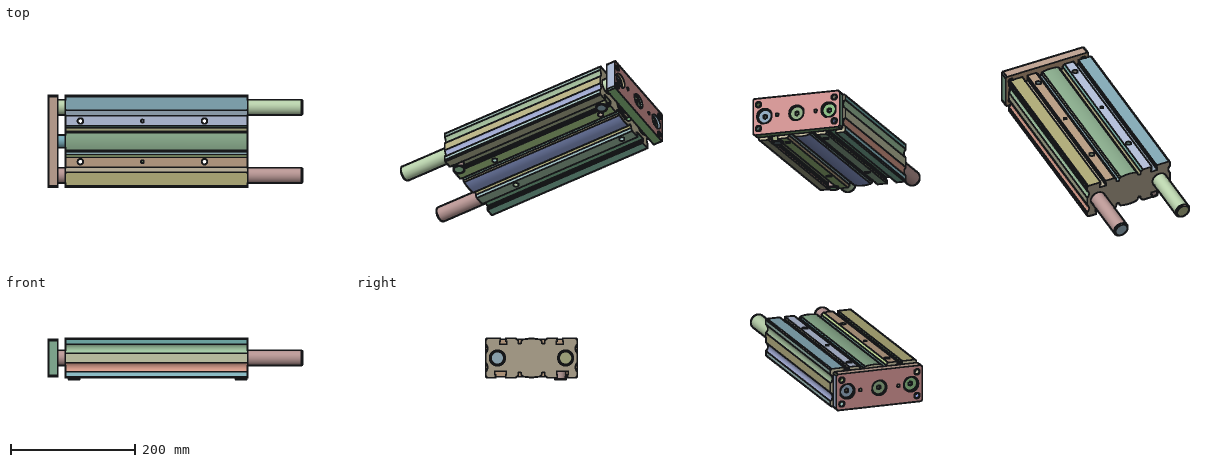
import cadquery as cq
import math


total_length = 410.0
width = 148.0

plate_thickness = 15.0
plate_height = 61.0
plate_chamfer = 2.5
corner_hole_y = 64.8
corner_hole_z = 20.0
corner_hole_diameter = 8.0
corner_countersink_diameter = 10.0
pin_hole_diameter = 5.0

housing_start = 27.5
housing_length = 294.0
housing_height = 64.0
housing_chamfer = 2.0
top = housing_height / 2
side = width / 2

guide_diameter = 25.0
guide_y = 55.0
guide_end_chamfer = 2.0
piston_diameter = 21.0
piston_end = 287.0
rod_bore_diameter = guide_diameter
head_edge_chamfer = 1.2
guide_recess = 4.0
piston_recess = 3.0
socket_flats = 6.0
socket_depth = 4.0

hub_diameter = 35.3
hub_recess_diameter = 46.7
hub_recess_depth = 13.0

rail_half_width = 14.0
rail_drop = 0.5
rail_crown = 1.85
rail_chamfer = 2.5
groove_inner = rail_half_width + rail_chamfer
groove_outer = 21.7
groove_chamfer = 3.5
groove_mouth = groove_outer + groove_chamfer
groove_depth = 9.0

top_slot_inner = 41.5
top_slot_outer = 50.0
bottom_slot_inner = 42.0
bottom_slot_outer = 58.0
slot_lip = 5.5
slot_depth = 10.2
slot_undercut = 1.2

flute_z = 15.0
flute_chord = 14.5
flute_depth = 3.3

mount_y = 33.0
mount_middle_x = 151.5
mount_spacing = 200.0
mount_diameter = 8.5
locating_diameter = 5.0
locating_depth = 6.0

plug_y = 46.7
plug_positions_x = (41.5, 310.8)
plug_diameter = 16.5
plug_flange_diameter = 19.0
plug_flange_thickness = 1.5
plug_flange_chamfer = 1.02
plug_projection = 3.0
plug_insertion = 13.5


def rod_along_x(start, end, diameter, y=0.0):
    """Round bar parallel to X."""
    return cq.Workplane("YZ", origin=(start, y, 0)).circle(diameter / 2).extrude(end - start)


def along_housing(profile):
    """Extrude a closed YZ profile over the housing length."""
    return profile.close().extrude(housing_length)


def housing_section():
    return cq.Workplane("YZ", origin=(housing_start, 0, 0))


def cut_hex_socket(rod, face_x, y):
    """Hexagon socket in the front end, with corners pointing up and down."""
    corners = socket_flats / math.cos(math.pi / 6)
    socket = (
        cq.Workplane("YZ", origin=(face_x, y, 0))
        .transformed(rotate=(0, 0, 90))
        .polygon(6, corners)
        .extrude(socket_depth)
    )
    return rod.cut(socket)


def centre_channel():
    """Material removed above the crowned rail and from its two sensor grooves."""
    bottom = top - groove_depth
    bottom_radius = (groove_outer - groove_inner) / 2
    groove_middle = (groove_outer + groove_inner) / 2
    round_start = bottom + bottom_radius
    crown = top - rail_drop
    rail_edge = crown - rail_crown
    return along_housing(
        housing_section()
        .moveTo(-groove_mouth, top)
        .lineTo(-groove_outer, top - groove_chamfer)
        .lineTo(-groove_outer, round_start)
        .threePointArc((-groove_middle, bottom), (-groove_inner, round_start))
        .lineTo(-groove_inner, rail_edge - rail_chamfer)
        .lineTo(-rail_half_width, rail_edge)
        .threePointArc((0, crown), (rail_half_width, rail_edge))
        .lineTo(groove_inner, rail_edge - rail_chamfer)
        .lineTo(groove_inner, round_start)
        .threePointArc((groove_middle, bottom), (groove_outer, round_start))
        .lineTo(groove_outer, top - groove_chamfer)
        .lineTo(groove_mouth, top)
    )


def t_slot(inner, outer):
    """T-slot opening in the top face, between two distances from the centre plane."""
    lip = top - slot_lip
    floor = top - slot_depth
    return along_housing(
        housing_section()
        .moveTo(inner, top)
        .lineTo(inner, lip)
        .lineTo(inner - slot_undercut, lip)
        .lineTo(inner - slot_undercut, floor)
        .lineTo(outer + slot_undercut, floor)
        .lineTo(outer + slot_undercut, lip)
        .lineTo(outer, lip)
        .lineTo(outer, top)
    )


def side_flute(z):
    return along_housing(
        housing_section()
        .moveTo(side, z - flute_chord / 2)
        .threePointArc((side - flute_depth, z), (side, z + flute_chord / 2))
    )


def hub_recess():
    """Ring cut into the front end of the housing, leaving the bearing hub standing."""
    ring = housing_section().circle(hub_recess_diameter / 2).circle(hub_diameter / 2)
    return ring.extrude(hub_recess_depth)


def plug_blank(x, diameter, bottom, height):
    """Upright cylinder on a port axis."""
    return cq.Workplane("XY", origin=(x, plug_y, bottom)).circle(diameter / 2).extrude(height)


def make_housing():
    body = (
        cq.Workplane("XY")
        .box(housing_length, width, housing_height)
        .edges("|X")
        .chamfer(housing_chamfer)
        .translate((housing_start + housing_length / 2, 0, 0))
    )

    channel = centre_channel()
    body = body.cut(channel).cut(channel.mirror("XY"))

    body = body.cut(hub_recess())

    top_slot = t_slot(top_slot_inner, top_slot_outer)
    bottom_slot = t_slot(bottom_slot_inner, bottom_slot_outer).mirror("XY")
    for slot in (top_slot, bottom_slot):
        body = body.cut(slot).cut(slot.mirror("XZ"))

    for z in (-flute_z, flute_z):
        flute = side_flute(z)
        body = body.cut(flute).cut(flute.mirror("XZ"))

    for y in (-guide_y, guide_y):
        body = body.cut(rod_along_x(housing_start, total_length, guide_diameter, y))
    body = body.cut(rod_along_x(housing_start, piston_end, piston_diameter))

    for y in (-mount_y, mount_y):
        for x in (mount_middle_x - mount_spacing / 2, mount_middle_x + mount_spacing / 2):
            mount = cq.Workplane("XY", origin=(x, y, -top)).circle(mount_diameter / 2)
            body = body.cut(mount.extrude(housing_height))
        locating = cq.Workplane("XY", origin=(mount_middle_x, y, top)).circle(locating_diameter / 2)
        body = body.cut(locating.extrude(-locating_depth))

    for x in plug_positions_x:
        body = body.cut(plug_blank(x, plug_diameter, -top, plug_insertion))
    return body


def corner_hole(y, z):
    """Through hole with a 45 degree countersink on the front face."""
    hole_radius = corner_hole_diameter / 2
    mouth_radius = corner_countersink_diameter / 2
    hole = cq.Workplane("YZ", origin=(0, y, z)).circle(hole_radius).extrude(plate_thickness)
    countersink = cq.Solid.makeCone(
        mouth_radius, hole_radius, mouth_radius - hole_radius, cq.Vector(0, y, z), cq.Vector(1, 0, 0)
    )
    return hole.union(cq.Workplane(countersink))


def make_front_plate():
    """Front plate in one piece with the piston rod."""
    plate = (
        cq.Workplane("XY")
        .box(plate_thickness, width, plate_height)
        .edges("|X")
        .chamfer(plate_chamfer)
        .translate((plate_thickness / 2, 0, 0))
    )

    for y in (-guide_y, 0, guide_y):
        plate = plate.cut(rod_along_x(0, plate_thickness, rod_bore_diameter, y))

    for y in (-corner_hole_y, corner_hole_y):
        for z in (-corner_hole_z, corner_hole_z):
            plate = plate.cut(corner_hole(y, z))

    for y in (-mount_y, mount_y):
        plate = plate.cut(rod_along_x(0, plate_thickness, pin_hole_diameter, y))

    head = rod_along_x(piston_recess, plate_thickness, rod_bore_diameter)
    head = head.faces("<X").chamfer(head_edge_chamfer)
    head = cut_hex_socket(head, piston_recess, 0)
    return plate.union(head).union(rod_along_x(plate_thickness, piston_end, piston_diameter))


def make_guide_rod(y):
    rod = rod_along_x(guide_recess, total_length, guide_diameter, y)
    rod = rod.faces("<X").chamfer(head_edge_chamfer)
    rod = rod.faces(">X").chamfer(guide_end_chamfer)
    return cut_hex_socket(rod, guide_recess, y)


def make_plug(x):
    """Screw plug: a shank in the port and a flange just below the housing."""
    flange_bottom = -top - plug_projection
    shank = plug_blank(x, plug_diameter, flange_bottom, plug_projection + plug_insertion)
    flange = plug_blank(x, plug_flange_diameter, flange_bottom, plug_flange_thickness)
    flange = flange.faces("<Z").chamfer(plug_flange_chamfer)
    return shank.union(flange)


housing = make_housing()
front_plate = make_front_plate()
guide_rods = [make_guide_rod(y) for y in (-guide_y, guide_y)]
plugs = [make_plug(x) for x in plug_positions_x]

result = cq.Compound.makeCompound(
    [
        housing.val(),
        front_plate.val(),
        *[rod.val() for rod in guide_rods],
        *[plug.val() for plug in plugs],
    ]
)